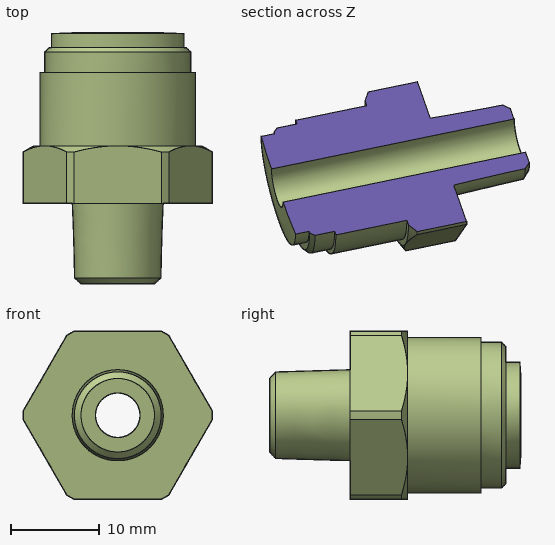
import cadquery as cq
import math


thread_length = 9.1
thread_root_diameter = 10.3
thread_tip_diameter = 9.8
thread_chamfer_width = 0.75
thread_chamfer_length = 0.7

hex_across_flats = 19.0
hex_across_corners = 21.4
hex_length = 6.5
hex_chamfer_angle = 30.0

body_diameter = 17.6
body_length = 8.3
sleeve_diameter = 16.5
sleeve_length = 2.8
sleeve_chamfer = 0.5

collar_width = 15.0
collar_height = 12.0
collar_length = 1.7
crown_height = 0.12
crown_diameter = 9.0

bore_diameter = 5.0

hex_start = thread_length
hex_end = hex_start + hex_length
body_end = hex_end + body_length
sleeve_end = body_end + sleeve_length
collar_end = sleeve_end + collar_length


def section_at(y):
    """Workplane across the axis at Y = y; it extrudes toward +Y."""
    return cq.Workplane(cq.Plane(origin=(0, y, 0), xDir=(1, 0, 0), normal=(0, 1, 0)))


def turned(profile):
    """Solid of revolution about Y from (y, radius) points, closed along the axis."""
    return cq.Workplane("YZ").polyline(profile).close().revolve(360, (0, 0), (1, 0))


def make_round_body():
    """Thread end, core, body and sleeve turned as one profile."""
    root_radius = thread_root_diameter / 2
    tip_radius = thread_tip_diameter / 2
    body_radius = body_diameter / 2
    sleeve_radius = sleeve_diameter / 2
    return turned([
        (0, 0),
        (0, tip_radius - thread_chamfer_width),
        (thread_chamfer_length, tip_radius),
        (hex_start, root_radius),
        (hex_start, body_radius),
        (body_end, body_radius),
        (body_end, sleeve_radius),
        (sleeve_end - sleeve_chamfer, sleeve_radius),
        (sleeve_end, sleeve_radius - sleeve_chamfer),
        (sleeve_end, 0),
    ])


def make_hexagon():
    """Hexagonal prism trimmed by a turned blank that is chamfered on the body side."""
    flat_radius = hex_across_flats / 2
    corner_radius = hex_across_corners / 2
    chamfer_length = (corner_radius - flat_radius) * math.tan(math.radians(hex_chamfer_angle))
    sharp_corner_diameter = hex_across_flats / math.cos(math.pi / 6)
    prism = section_at(hex_start).polygon(6, sharp_corner_diameter).extrude(hex_length)
    blank = turned([
        (hex_start, 0),
        (hex_start, corner_radius),
        (hex_end - chamfer_length, corner_radius),
        (hex_end, flat_radius),
        (hex_end, 0),
    ])
    return prism.intersect(blank)


def make_collar():
    """Elliptical release collar on the sleeve's end face, its own end crowned up to a round rim."""
    half_width = collar_width / 2
    half_height = collar_height / 2
    crown_start = collar_end - crown_height
    wall = section_at(sleeve_end).ellipse(half_width, half_height).extrude(crown_start - sleeve_end)
    crown = (
        section_at(crown_start)
        .ellipse(half_width, half_height)
        .workplane(offset=crown_height)
        .circle(crown_diameter / 2)
        .loft()
    )
    return wall.union(crown)


def make_bore():
    """Through bore along the whole axis."""
    return section_at(0).circle(bore_diameter / 2).extrude(collar_end)


result = make_round_body().union(make_hexagon()).union(make_collar()).cut(make_bore())